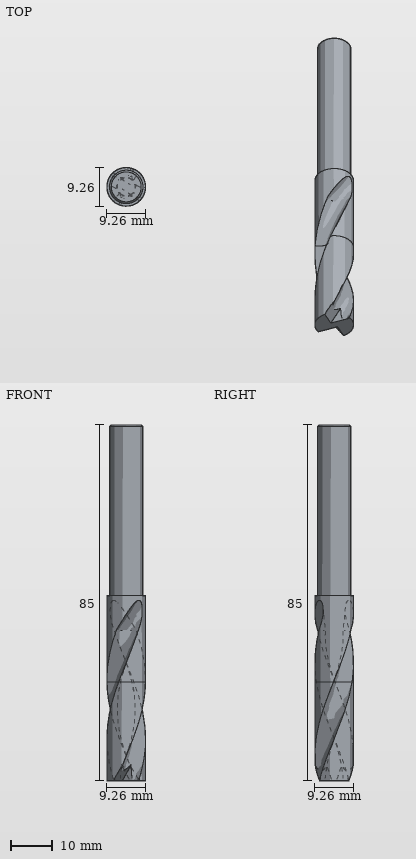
import cadquery as cq
import math

total_length = 85.0
body_radius = 4.63
shank_radius = 4.0
shoulder_height = 44.2
joint_height = 23.6
shank_chamfer = 0.4

flute_count = 2
flute_radius = 2.9
core_radius = 2.1
flute_offset = core_radius + flute_radius
quarter_turn_height = 18.1
flute_pitch = 4 * quarter_turn_height
flute_base_angle = -85.0
flute_end_height = 35.95
flute_overrun = 0.85

runout_rise = 8.5
runout_side_slope = 0.63
runout_outward_slope = 0.14

gash_ramp_point = (-3.1, -3.5, 0)
gash_ramp_normal = (1.4, -1, -1.1)
gash_wall_point = (1.7, -2.4, 0)
gash_wall_normal = (-0.7, -1, 0.05)
gash_tool_size = 34.0


def flute_angle(height):
    return flute_base_angle + 360 * height / flute_pitch


def flute_circle(height):
    """Flute cross-section at a given height."""
    angle = math.radians(flute_angle(height))
    center = cq.Vector(flute_offset * math.cos(angle), flute_offset * math.sin(angle), height)
    return cq.Wire.makeCircle(flute_radius, center, cq.Vector(0, 0, 1))


def flute_cutters():
    """Helical groove that leaves the body along a straight run-out."""
    helix_height = flute_end_height + flute_overrun
    helix = cq.Solid.extrudeLinearWithRotation(
        flute_circle(-flute_overrun),
        [],
        cq.Vector(0, 0, -flute_overrun),
        cq.Vector(0, 0, helix_height),
        360 * helix_height / flute_pitch,
    )
    end_angle = math.radians(flute_angle(flute_end_height))
    outward = cq.Vector(math.cos(end_angle), math.sin(end_angle), 0)
    sideways = cq.Vector(-math.sin(end_angle), math.cos(end_angle), 0)
    runout_path = (
        outward * (runout_outward_slope * runout_rise)
        + sideways * (runout_side_slope * runout_rise)
        + cq.Vector(0, 0, runout_rise)
    )
    runout_face = cq.Face.makeFromWires(flute_circle(flute_end_height))
    runout = cq.Solid.extrudeLinear(runout_face, runout_path)
    return [helix, runout]


def half_space(point, normal):
    """Large block that starts at a plane and fills the side its normal points to."""
    plane = cq.Plane(origin=point, normal=normal)
    return cq.Workplane(plane).rect(gash_tool_size, gash_tool_size).extrude(gash_tool_size)


def gash_cutter():
    ramp_side = half_space(gash_ramp_point, gash_ramp_normal)
    wall_side = half_space(gash_wall_point, gash_wall_normal)
    return ramp_side.intersect(wall_side).val()


def cut_around_axis(body, cutter):
    """Cut the same shape once for every flute, evenly spaced around Z."""
    for index in range(flute_count):
        turn = 360 / flute_count * index
        body = body.cut(cq.Workplane(cutter.rotate(cq.Vector(0, 0, 0), cq.Vector(0, 0, 1), turn)))
    return body


def cut_flutes(body):
    for cutter in flute_cutters():
        body = cut_around_axis(body, cutter)
    return body


def make_holder():
    """Shank with the upper part of the fluted body."""
    collar = (
        cq.Workplane("XY", origin=(0, 0, joint_height))
        .circle(body_radius)
        .extrude(shoulder_height - joint_height)
    )
    shank = (
        cq.Workplane("XY", origin=(0, 0, shoulder_height))
        .circle(shank_radius)
        .extrude(total_length - shoulder_height)
        .faces(">Z")
        .chamfer(shank_chamfer)
    )
    return cut_flutes(collar.union(shank))


def make_cutting_tip():
    """Lower part of the fluted body with the gashed end."""
    blank = cq.Workplane("XY").circle(body_radius).extrude(joint_height)
    return cut_around_axis(cut_flutes(blank), gash_cutter())


holder = make_holder()
cutting_tip = make_cutting_tip()
result = cq.Compound.makeCompound([holder.val(), cutting_tip.val()])